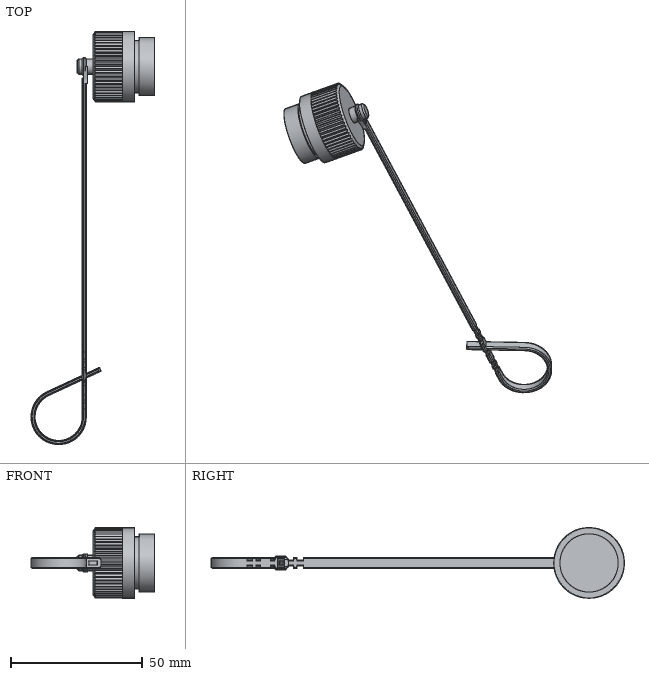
import cadquery as cq
import math

cap_diameter = 27.0
knurl_length = 11.2
flange_end = 15.9
neck_diameter = 20.0
neck_end = 17.6
plug_diameter = 22.2
cap_length = 23.5
rear_chamfer_length = 1.0
rear_chamfer_depth = 1.4

groove_count = 56
groove_depth = 0.5
crest_width = 0.1

stud_diameter = 6.0
stud_length = 6.0
stud_chamfer = 0.6

strap_width = 4.3
strap_thickness = 1.5
strap_chamfer = 0.5
strap_x = -3.3
eyelet_diameter = 7.0
strap_start = -4.3
strap_end_chamfer = 0.3
shank_taper_end = -5.0
shank_end = -6.5
shank_offset = 0.5

core_start = -108.8
core_end = -130.4
core_width = 2.4
bead_length = 1.3
bead_places = (-112.0, -127.5)
block_start = -121.4
block_end = -125.2
buckle_width = 5.2
buckle_start = -115.6
buckle_end = -119.4
buckle_taper = 1.0

overall_length = 157.5
loop_outer_radius = 10.5
tail_angle = 25
tail_length = 22.0
tail_tip_chamfer = 0.8
tail_pocket_length = 3.6
tail_pocket_width = 1.5
tail_pocket_depth = 0.5
tail_pocket_inset = 1.5

loop_radius = loop_outer_radius - strap_thickness / 2
loop_x = strap_x - loop_radius
loop_y = cap_diameter / 2 - overall_length + loop_outer_radius
strap_face = strap_x - strap_thickness / 2


def cap_and_stud():
    cap_radius = cap_diameter / 2
    stud_radius = stud_diameter / 2
    profile = [
        (-stud_length, 0),
        (-stud_length, stud_radius - stud_chamfer),
        (stud_chamfer - stud_length, stud_radius),
        (0, stud_radius),
        (0, cap_radius - rear_chamfer_depth),
        (rear_chamfer_length, cap_radius),
        (flange_end, cap_radius),
        (flange_end, neck_diameter / 2),
        (neck_end, neck_diameter / 2),
        (neck_end, plug_diameter / 2),
        (cap_length, plug_diameter / 2),
        (cap_length, 0),
    ]
    return cq.Workplane("XY").polyline(profile).close().revolve(360, (0, 0), (1, 0))


def knurl_grooves():
    rim = cap_diameter / 2
    pitch = math.pi * cap_diameter / groove_count
    half_mouth = pitch - crest_width
    outline = [(-half_mouth, rim + groove_depth), (half_mouth, rim + groove_depth), (0, rim - groove_depth)]
    groove = cq.Workplane("YZ").polyline(outline).close().extrude(knurl_length).val()
    step = 360 / groove_count
    axis = ((0, 0, 0), (1, 0, 0))
    grooves = [groove.rotate(*axis, i * step) for i in range(groove_count)]
    return cq.Workplane(cq.Compound.makeCompound(grooves))


def band_section(plane, center_x, width):
    """Cross-section of the strap, a rectangle with chamfered corners."""
    section = cq.Sketch().rect(strap_thickness, width).vertices().chamfer(strap_chamfer)
    return cq.Workplane(plane).center(center_x, 0).placeSketch(section)


def straight_band(start, end, width):
    """Strap stretch running along -Y from start to end."""
    band = band_section("XZ", strap_x, width).extrude(start - end)
    return band.translate((0, start, 0))


def mirrored_outline(upper_edge):
    """Closed outline from its upper half, mirrored about the strap's centerline."""
    return upper_edge + [(y, -z) for y, z in reversed(upper_edge)]


def eyelet():
    """Disc around the stud, with a tapered shank lying under the start of the strap."""
    disc = cq.Workplane("YZ", origin=(strap_face, 0, 0)).circle(eyelet_diameter / 2).extrude(strap_thickness)
    disc = disc.edges().chamfer(strap_chamfer)
    half_eyelet = eyelet_diameter / 2
    half_strap = strap_width / 2
    upper_edge = [(0, half_eyelet), (shank_taper_end, half_strap), (shank_end, half_strap)]
    shank_plane = cq.Workplane("YZ", origin=(strap_face + shank_offset, 0, 0))
    shank = shank_plane.polyline(mirrored_outline(upper_edge)).close().extrude(strap_thickness)
    return disc.union(shank)


def buckle():
    half_core = core_width / 2
    half_buckle = buckle_width / 2
    upper_edge = [
        (buckle_start + buckle_taper, half_core),
        (buckle_start, half_buckle),
        (buckle_end, half_buckle),
        (buckle_end - buckle_taper, half_core),
    ]
    plane = cq.Workplane("YZ", origin=(strap_face, 0, 0))
    body = plane.polyline(mirrored_outline(upper_edge)).close().extrude(strap_thickness)
    return body.faces("<X or >X").chamfer(strap_chamfer)


def strap():
    body = straight_band(strap_start, core_start, strap_width)
    body = body.faces(">Y").edges("<X").chamfer(strap_end_chamfer)
    body = body.union(eyelet())
    body = body.union(straight_band(core_start, core_end, core_width))
    for place in bead_places:
        body = body.union(straight_band(place + bead_length / 2, place - bead_length / 2, strap_width))
    body = body.union(straight_band(block_start, block_end, strap_width))
    body = body.union(buckle())
    return body.union(straight_band(core_end, loop_y, strap_width))


def loop():
    tail_start = 90 + tail_angle
    curl = band_section("XZ", loop_radius, strap_width).revolve(
        360 - tail_start, (-loop_radius, 0, 0), (-loop_radius, 1, 0)
    )
    curl = curl.rotate((0, 0, 0), (0, 0, 1), tail_start)
    tail = band_section("XZ", loop_radius, strap_width).extrude(tail_length)
    tail = tail.faces("<Y").edges("|X").chamfer(tail_tip_chamfer)
    pocket = cq.Workplane("XY").box(
        tail_pocket_depth, tail_pocket_length, tail_pocket_width, centered=(False, False, True)
    )
    inner_face = loop_radius - strap_thickness / 2
    tail = tail.cut(pocket.translate((inner_face, tail_pocket_inset - tail_length, 0)))
    tail = tail.rotate((0, 0, 0), (0, 0, 1), tail_start)
    return curl.union(tail).translate((loop_x, loop_y, 0))


result = cap_and_stud().cut(knurl_grooves()).union(strap()).union(loop())